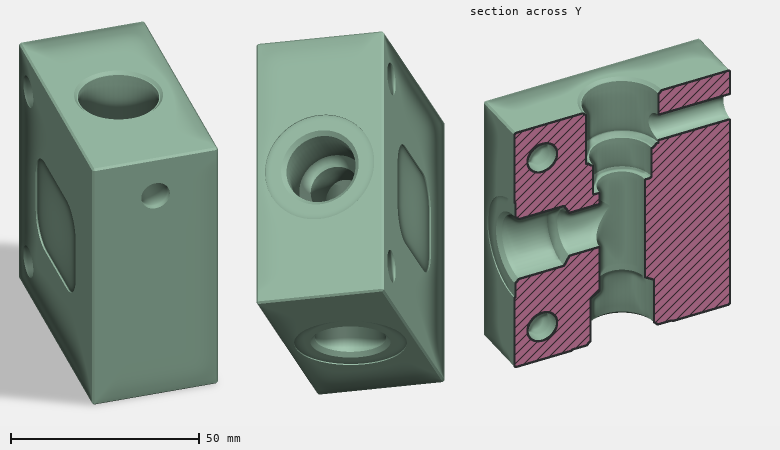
import cadquery as cq
import math

WIDTH = 65.0
DEPTH = 35.0
HEIGHT = 75.0
EDGE_CHAMFER = 0.5

RECESS_WIDTH = 35.0
RECESS_HEIGHT = 28.0
RECESS_CORNER_RADIUS = 8.0
RECESS_CENTRE_Z = -0.5
RECESS_DEPTH = 0.5

MOUNT_DIAMETER = 8.8
MOUNT_X = -24.0
MOUNT_SPACING = 54.0

SPOTFACE_DIAMETER = 30.0
SPOTFACE_DEPTH = 0.3
PORT_MOUTH_DIAMETER = 21.3
PORT_DIAMETER = 19.0
PORT_DEPTH = 15.0
DRILL_POINT_ANGLE = 118.0
FLOW_DIAMETER = 13.6

CAVITY_MOUTH_DIAMETER = 23.7
CAVITY_LEDGE_DIAMETER = 22.2
CAVITY_DIAMETER = 21.6
CAVITY_DEPTH = 16.5
TAPER_TOP_DIAMETER = 20.7
TAPER_BOTTOM_DIAMETER = 18.6
SEAT_DIAMETER = 17.55
SEAT_FLOOR_DIAMETER = 16.8
SEAT_DEPTH = 27.0

SIDE_DIAMETER = 7.95
SIDE_Z = 25.8


def bore(profile):
    """Revolve (radius, depth) points into a cutter that opens at the origin and runs toward -Z."""
    points = [(radius, -depth) for radius, depth in profile]
    outline = [(0, 0)] + points + [(0, points[-1][1])]
    return cq.Workplane("XZ").polyline(outline).close().revolve(360, (0, 0, 0), (0, 1, 0))


def threaded_port(flow_depth):
    """Spotfaced port with a chamfered mouth, a conical drill point and a flow bore."""
    port_radius = PORT_DIAMETER / 2
    mouth_radius = PORT_MOUTH_DIAMETER / 2
    flow_radius = FLOW_DIAMETER / 2
    mouth_end = SPOTFACE_DEPTH + mouth_radius - port_radius
    point_length = (port_radius - flow_radius) / math.tan(math.radians(DRILL_POINT_ANGLE / 2))
    return bore([
        (SPOTFACE_DIAMETER / 2, 0),
        (SPOTFACE_DIAMETER / 2, SPOTFACE_DEPTH),
        (mouth_radius, SPOTFACE_DEPTH),
        (port_radius, mouth_end),
        (port_radius, PORT_DEPTH),
        (flow_radius, PORT_DEPTH + point_length),
        (flow_radius, flow_depth),
    ])


def valve_cavity():
    """Stepped cavity with 45 degree tapers, narrowing from the mouth to a flat-bottomed seat."""
    mouth_radius = CAVITY_MOUTH_DIAMETER / 2
    ledge_radius = CAVITY_LEDGE_DIAMETER / 2
    cavity_radius = CAVITY_DIAMETER / 2
    taper_top_radius = TAPER_TOP_DIAMETER / 2
    taper_bottom_radius = TAPER_BOTTOM_DIAMETER / 2
    seat_radius = SEAT_DIAMETER / 2
    floor_radius = SEAT_FLOOR_DIAMETER / 2
    ledge_depth = mouth_radius - ledge_radius
    taper_end = CAVITY_DEPTH + taper_top_radius - taper_bottom_radius
    return bore([
        (mouth_radius, 0),
        (ledge_radius, ledge_depth),
        (cavity_radius, ledge_depth),
        (cavity_radius, CAVITY_DEPTH),
        (taper_top_radius, CAVITY_DEPTH),
        (taper_bottom_radius, taper_end),
        (seat_radius, taper_end),
        (seat_radius, SEAT_DEPTH - seat_radius + floor_radius),
        (floor_radius, SEAT_DEPTH),
    ])


block = cq.Workplane("XY").box(WIDTH, DEPTH, HEIGHT).edges().chamfer(EDGE_CHAMFER)

recess = (
    cq.Workplane("XY")
    .box(RECESS_WIDTH, 2 * RECESS_DEPTH, RECESS_HEIGHT)
    .edges("|Y")
    .fillet(RECESS_CORNER_RADIUS)
    .translate((0, -DEPTH / 2, RECESS_CENTRE_Z))
)

mount_holes = (
    cq.Workplane("XZ")
    .pushPoints([(MOUNT_X, -MOUNT_SPACING / 2), (MOUNT_X, MOUNT_SPACING / 2)])
    .circle(MOUNT_DIAMETER / 2)
    .extrude(DEPTH / 2, both=True)
)

left_port = (
    threaded_port(WIDTH / 2)
    .rotate((0, 0, 0), (0, 1, 0), -90)
    .translate((-WIDTH / 2, 0, 0))
)

bottom_port = (
    threaded_port(HEIGHT - SEAT_DEPTH)
    .rotate((0, 0, 0), (1, 0, 0), 180)
    .translate((0, 0, -HEIGHT / 2))
)

cavity = valve_cavity().translate((0, 0, HEIGHT / 2))

side_passage = (
    cq.Workplane("YZ")
    .center(0, SIDE_Z)
    .circle(SIDE_DIAMETER / 2)
    .extrude(WIDTH / 2)
)

result = block
for cutter in (recess, mount_holes, left_port, bottom_port, cavity, side_passage):
    result = result.cut(cutter)